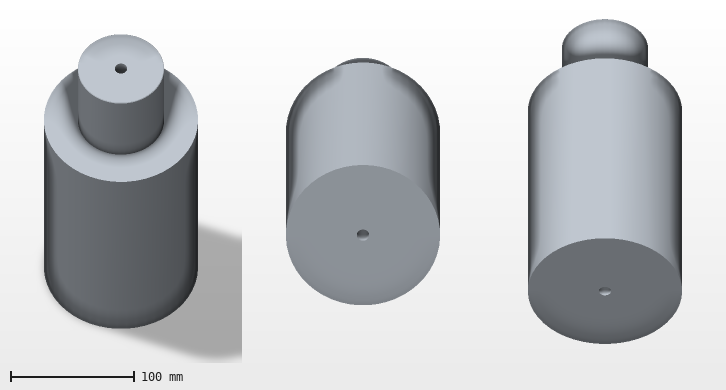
import cadquery as cq

total_height = 270.0
body_diameter = 125.0
neck_diameter = 70.0
neck_height = 70.0
bore_diameter = 10.0
neck_chamfer = 0.5

body_height = total_height - neck_height

body = cq.Workplane("XY").circle(body_diameter / 2).extrude(body_height)

neck = (
    cq.Workplane("XY", origin=(0, 0, body_height))
    .circle(neck_diameter / 2)
    .extrude(neck_height)
    .faces(">Z")
    .edges()
    .chamfer(neck_chamfer)
)

bore = cq.Workplane("XY").circle(bore_diameter / 2).extrude(total_height)

result = body.union(neck).cut(bore)